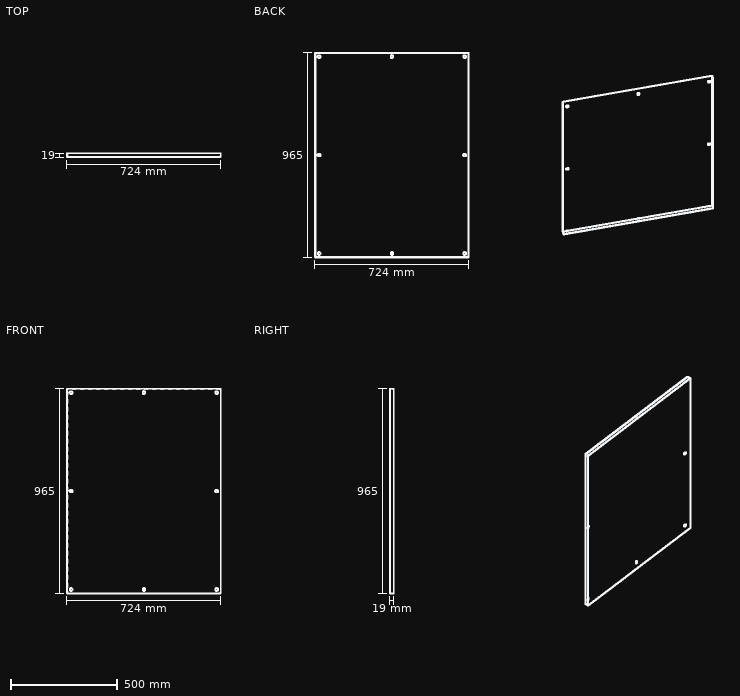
import cadquery as cq

width = 724.0
depth = 19.0
height = 965.0
sheet = 3.0
corner_radius = 4.0
front_edge_radius = 3.4

hole_inset = 19.0
hole_diameter = 13.0
slot_length = 13.5
slot_width = 10.0

hole_x = width / 2 - hole_inset
hole_z = height / 2 - hole_inset


def rounded_plate(inset):
    """Plate with rounded corners and front rim, set inward from the outer skin by inset."""
    plate = cq.Workplane("XY").box(width - 2 * inset, depth - inset, height - 2 * inset)
    plate = plate.edges("|Y").fillet(corner_radius - inset)
    plate = plate.faces("<Y").edges().fillet(front_edge_radius - inset)
    return plate.translate((0, inset / 2, 0))


def cut_corner_holes(pan):
    """Round through holes at the four corners."""
    corners = [(x, z) for x in (-hole_x, hole_x) for z in (-hole_z, hole_z)]
    holes = cq.Workplane("XZ").pushPoints(corners).circle(hole_diameter / 2)
    return pan.cut(holes.extrude(depth, both=True))


def cut_slots(pan, centres, angle):
    """Through slots at the given points, turned by angle from the X axis."""
    slots = cq.Workplane("XZ").pushPoints(centres).slot2D(slot_length, slot_width, angle)
    return pan.cut(slots.extrude(depth, both=True))


result = rounded_plate(0).cut(rounded_plate(sheet))
result = cut_corner_holes(result)
result = cut_slots(result, [(-hole_x, 0), (hole_x, 0)], 0)
result = cut_slots(result, [(0, -hole_z), (0, hole_z)], 90)